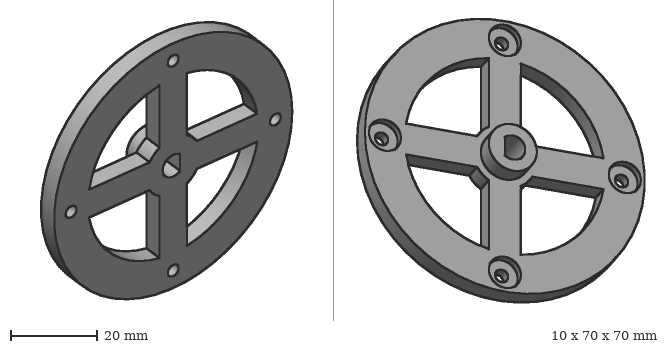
import cadquery as cq

wheel_thickness = 5.0
boss_height = 5.0

wheel_diameter = 70.0
rim_inner_diameter = 50.0
spoke_width = 8.0
spoke_hub_diameter = 16.0

boss_diameter = 12.0
bore_diameter = 6.2
bore_flat_offset = 2.0

screw_count = 4
screw_circle_diameter = 60.0
screw_hole_diameter = 3.2
counterbore_diameter = 8.0
counterbore_depth = 2.0


def x_cylinder(diameter, x_start, length):
    """Cylinder on the wheel axis, growing toward +X from x_start."""
    return cq.Workplane("YZ", origin=(x_start, 0, 0)).circle(diameter / 2).extrude(length)


def make_rim():
    outer = x_cylinder(wheel_diameter, 0, wheel_thickness)
    return outer.cut(x_cylinder(rim_inner_diameter, 0, wheel_thickness))


def make_spokes():
    """Crossed bars reaching halfway into the rim, around a round hub."""
    bar_length = (wheel_diameter + rim_inner_diameter) / 2
    plane = cq.Workplane("YZ")
    bar_along_y = plane.rect(bar_length, spoke_width).extrude(wheel_thickness)
    bar_along_z = plane.rect(spoke_width, bar_length).extrude(wheel_thickness)
    hub = x_cylinder(spoke_hub_diameter, 0, wheel_thickness)
    return hub.union(bar_along_y).union(bar_along_z)


def make_bore():
    """D-shaped cutter through the boss and the hub."""
    bore_length = boss_height + wheel_thickness
    bore = x_cylinder(bore_diameter, -boss_height, bore_length)
    bore_radius = bore_diameter / 2
    kept_width = bore_radius + bore_flat_offset
    kept_side = (
        cq.Workplane("YZ", origin=(-boss_height, 0, 0))
        .center(bore_flat_offset - kept_width / 2, 0)
        .rect(kept_width, bore_diameter)
        .extrude(bore_length)
    )
    return bore.intersect(kept_side)


def make_screw_holes():
    """Through holes, counterbored from the boss side."""
    through = (
        cq.Workplane("YZ")
        .polarArray(screw_circle_diameter / 2, 0, 360, screw_count)
        .circle(screw_hole_diameter / 2)
        .extrude(wheel_thickness)
    )
    counterbores = (
        cq.Workplane("YZ")
        .polarArray(screw_circle_diameter / 2, 0, 360, screw_count)
        .circle(counterbore_diameter / 2)
        .extrude(counterbore_depth)
    )
    return through.union(counterbores)


wheel = make_rim().union(make_spokes())
boss = x_cylinder(boss_diameter, -boss_height, boss_height)
result = wheel.union(boss).cut(make_bore()).cut(make_screw_holes())